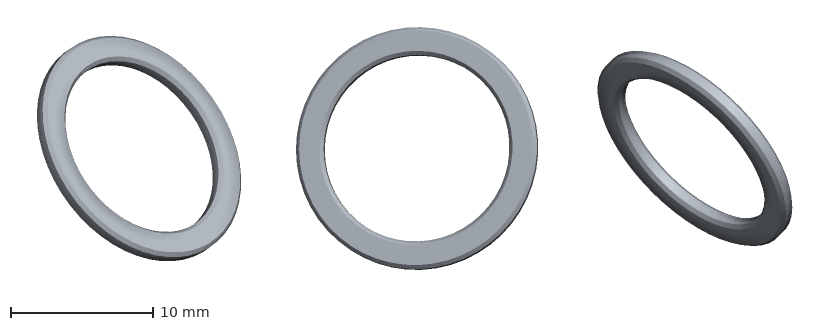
import cadquery as cq

outer_diameter = 17.05
bore_diameter = 13.15
thickness = 1.21
edge_chamfer = 0.25
tilt_angle = 40.0


def chamfered_ring():
    """Flat ring along Z, centred on the origin, with all four rims chamfered."""
    ring = (
        cq.Workplane("XY", origin=(0, 0, -thickness / 2))
        .circle(outer_diameter / 2)
        .circle(bore_diameter / 2)
        .extrude(thickness)
    )
    return ring.edges("%CIRCLE").chamfer(edge_chamfer)


result = chamfered_ring().rotate((0, 0, 0), (0, 1, 0), tilt_angle)